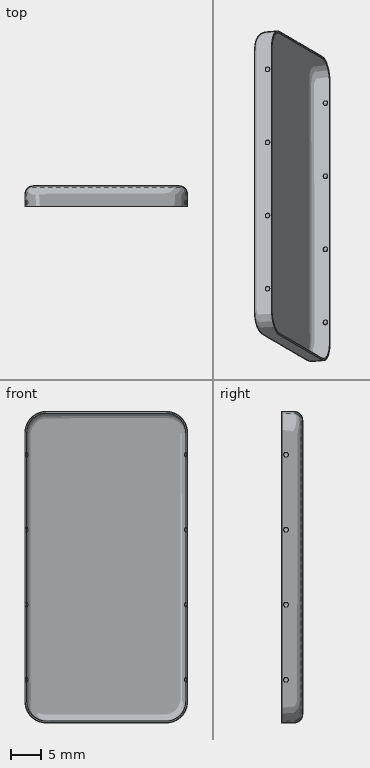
import cadquery as cq

width = 27.1
depth = 3.5
height = 51.9
wall = 0.3

corner_radius = 3.6
back_edge_radius = 1.5

dimple_radius = 0.4
dimple_press = 0.2
dimple_count = 4
dimple_pitch = 12.5
dimple_from_rim = 0.7


def rounded_block(inset):
    """Block inset from the outer shape on every side but the open rim."""
    block_depth = depth - inset
    return (
        cq.Workplane("XY")
        .box(width - 2 * inset, block_depth, height - 2 * inset)
        .translate((0, block_depth / 2, 0))
        .edges("|Y")
        .fillet(corner_radius - inset)
        .faces(">Y")
        .edges()
        .fillet(back_edge_radius - inset)
    )


def dimple_sites():
    """Yield the side (-1 or +1) and the Z position of every dimple."""
    for side in (-1, 1):
        for index in range(dimple_count):
            yield side, (index - (dimple_count - 1) / 2) * dimple_pitch


def dimple_cap(side, z, wall_inset):
    """Spherical cap bulging inward from a plane inset from a long outer wall."""
    cap_plane = cq.Plane(
        origin=(side * (width / 2 - wall_inset), dimple_from_rim, z),
        xDir=(0, 1, 0),
        normal=(0, 0, side),
    )
    sphere_radius = (dimple_radius**2 + dimple_press**2) / (2 * dimple_press)
    return (
        cq.Workplane(cap_plane)
        .lineTo(dimple_radius, 0)
        .radiusArc((0, dimple_press), -sphere_radius)
        .close()
        .revolve(360, (0, 0), (0, 1))
    )


result = rounded_block(0).cut(rounded_block(wall))
for side, z in dimple_sites():
    result = result.union(dimple_cap(side, z, wall))
    result = result.cut(dimple_cap(side, z, 0))